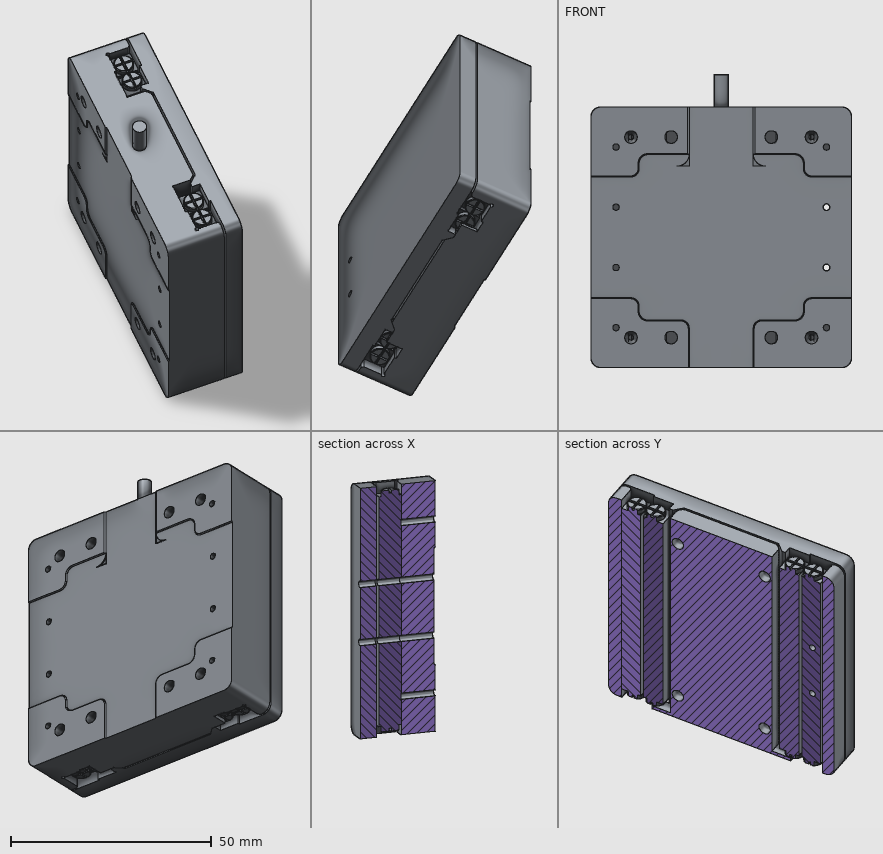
import cadquery as cq
import math


side = 65.0
thickness = 20.0
overall_length = 73.0
corner_radius = 2.5
front_y = -thickness / 2
back_y = thickness / 2
mid_z = side / 2

running_gap = 0.5
base_top_y = 5.1
rail_floor_y = -0.9
clearance_floor_y = -1.4
ridge_top_y = base_top_y - running_gap
keel_bottom_y = 3.0
ridge_shoulder_y = 3.35

ridge_top_x = 13.4
slope_inner_x = 13.6
slope_outer_x = slope_inner_x + base_top_y - keel_bottom_y
ridge_wall_x = ridge_top_x + ridge_top_y - ridge_shoulder_y
inner_rail_x = (16.7, 22.4)
outer_rail_x = (23.15, 28.6)
end_stop_x = 19.9
end_stop_length = 1.1
preload_gap = 0.5
wall_chamfer = 0.5
root_relief_radius = 0.45

rail_recess = 2.7
rail_edge_chamfer = 0.2
head_radius = 2.5
head_height = 1.45
head_chamfer = 0.2
head_slot_width = 0.5
head_slot_depth = 0.7
outer_head_x = 25.4
inner_head_x = 20.0
head_y = 2.05

pad_height = 0.3
pad_slope = 0.255
pad_inner_x = 7.95
pad_step_x = 20.45
pad_inner_length = 11.9
pad_outer_length = 17.45
pad_radius = 2.1
pad_pick_margin = 0.7
pad_oversize = 7.3
channel_extra = 0.45
relief_end = 14.75
corner_relief_radius = 3.1
corner_relief_depth = 0.3

small_hole_d = 1.6
small_hole_x = 26.2
small_hole_offsets = (-22.5, -7.5, 7.5, 22.5)
through_offsets = small_hole_offsets[1:3]
large_hole_d = 3.15
through_hole_x = 12.5
blind_hole_x = 22.5
large_hole_offsets = (-25.0, 25.0)
drill_point_angle = 118.0
drill_break_radius = 0.65

pin_d = 3.5
pin_y = -4.2

SIGNS = (-1, 1)


def block(x0, x1, y0, y1, z0, z1):
    """Box between two opposite corners."""
    return cq.Workplane("XY").box(x1 - x0, y1 - y0, z1 - z0, centered=False).translate((x0, y0, z0))


def rounded_block(y0, y1):
    """Slab with the common outline of the base and the carriage."""
    return block(-side / 2, side / 2, y0, y1, 0, side).edges("|Y").fillet(corner_radius)


def profile_prism(points, length=side):
    """Prism along Z from an XY outline."""
    return cq.Workplane("XY").polyline(points).close().extrude(length)


def drill(x, z, diameter, y0, y1):
    """Cylinder along +Y from y0 to y1."""
    cylinder = cq.Solid.makeCylinder(diameter / 2, y1 - y0, cq.Vector(x, y0, z), cq.Vector(0, 1, 0))
    return cq.Workplane(cylinder)


def rail_space(sign, play):
    """Room in the base for the two rails of one side and the keel of the carriage."""
    wall_x = outer_rail_x[1] + play
    points = [
        (ridge_top_x, back_y),
        (ridge_top_x, ridge_top_y),
        (ridge_wall_x, ridge_shoulder_y),
        (ridge_wall_x, clearance_floor_y),
        (outer_rail_x[0], clearance_floor_y),
        (outer_rail_x[0], rail_floor_y),
        (wall_x, rail_floor_y),
        (wall_x, base_top_y - wall_chamfer),
        (wall_x + wall_chamfer, base_top_y),
        (wall_x + wall_chamfer, back_y),
    ]
    wall_foot = cq.Workplane("XY").center(sign * wall_x, rail_floor_y)
    root_relief = wall_foot.circle(root_relief_radius).extrude(side)
    return profile_prism([(sign * x, y) for x, y in points]).union(root_relief)


def end_stop(sign):
    """Wall at the -Z end that fills the clearance beside one inner rail up to the carriage."""
    points = [
        (ridge_top_x, ridge_top_y),
        (ridge_wall_x, ridge_shoulder_y),
        (ridge_wall_x, clearance_floor_y),
        (end_stop_x, clearance_floor_y),
        (end_stop_x, keel_bottom_y),
        (slope_outer_x, keel_bottom_y),
        (slope_outer_x - (ridge_top_y - keel_bottom_y), ridge_top_y),
    ]
    return profile_prism([(sign * x, y) for x, y in points], end_stop_length)


def pad(x_sign, z_sign):
    """Raised mounting pad in one corner of the front face, with sloped walls."""
    far = side / 2 + pad_oversize
    inner_z = side / 2 - pad_inner_length
    outer_z = side / 2 - pad_outer_length
    points = [
        (pad_inner_x, far),
        (pad_inner_x, inner_z),
        (pad_step_x, inner_z),
        (pad_step_x, outer_z),
        (far, outer_z),
        (far, far),
    ]
    floor_y = front_y + pad_height
    outline = [(x_sign * x, mid_z + z_sign * z) for x, z in points]
    body = cq.Workplane("XZ", origin=(0, floor_y, 0)).polyline(outline).close().extrude(pad_height)
    step_edges = cq.selectors.BoxSelector(
        (x_sign * (pad_step_x - pad_pick_margin), front_y - pad_pick_margin, mid_z),
        (x_sign * (pad_step_x + pad_pick_margin), floor_y + pad_pick_margin, mid_z + z_sign * far),
    )
    body = body.edges("|Y").edges(step_edges).fillet(pad_radius)
    if z_sign < 0:
        inner_corner = cq.selectors.NearestToPointSelector(
            (x_sign * pad_inner_x, floor_y, mid_z + z_sign * inner_z)
        )
        body = body.edges("|Y").edges(inner_corner).fillet(pad_radius)
    body = body.faces("<Y").chamfer(pad_slope)
    return body.intersect(rounded_block(front_y, floor_y))


def end_channel():
    """Wider, flatter slopes of the centre channel between the pads at the +Z end."""
    wide_x = pad_inner_x + channel_extra
    floor_y = front_y + pad_height
    points = [(-wide_x, front_y), (wide_x, front_y), (pad_inner_x, floor_y), (-pad_inner_x, floor_y)]
    return profile_prism(points, pad_inner_length).translate((0, 0, side - pad_inner_length))


def corner_relief(sign):
    """Shallow recess between a square corner and its inscribed arc, below a +Z pad."""
    bottom_z = side - relief_end
    arc_x = pad_inner_x + corner_relief_radius
    arc_z = bottom_z + corner_relief_radius
    arc_reach = corner_relief_radius * math.sqrt(0.5)
    return (
        cq.Workplane("XZ", origin=(0, front_y + pad_height + corner_relief_depth, 0))
        .moveTo(sign * pad_inner_x, bottom_z)
        .lineTo(sign * arc_x, bottom_z)
        .threePointArc((sign * (arc_x - arc_reach), arc_z - arc_reach), (sign * pad_inner_x, arc_z))
        .close()
        .extrude(corner_relief_depth)
    )


def blind_hole(x, z):
    """Drilled hole whose conical point just breaks through the clearance floor."""
    radius = large_hole_d / 2
    slope = math.tan(math.radians(drill_point_angle / 2))
    shoulder_y = clearance_floor_y - (radius - drill_break_radius) / slope
    tip_y = shoulder_y + radius / slope
    section = [(0, front_y), (radius, front_y), (radius, shoulder_y), (0, tip_y)]
    return cq.Workplane("XY").polyline(section).close().revolve(360, (0, 0), (0, 1)).translate((x, 0, z))


def make_base():
    base = rounded_block(front_y + pad_height, base_top_y)
    base = base.cut(block(-ridge_top_x, ridge_top_x, ridge_top_y, back_y, 0, side))
    base = base.cut(rail_space(-1, 0)).cut(rail_space(1, preload_gap))
    for x_sign in SIGNS:
        for z_sign in SIGNS:
            base = base.union(pad(x_sign, z_sign))
    base = base.cut(end_channel())
    for sign in SIGNS:
        base = base.union(end_stop(sign))
        base = base.cut(corner_relief(sign))
        for offset in small_hole_offsets:
            base = base.cut(drill(sign * small_hole_x, mid_z + offset, small_hole_d, front_y, rail_floor_y))
        for offset in large_hole_offsets:
            base = base.cut(drill(sign * through_hole_x, mid_z + offset, large_hole_d, front_y, base_top_y))
            base = base.cut(blind_hole(sign * blind_hole_x, mid_z + offset))
    return base


def carriage_side(sign):
    """Underside of the carriage from the centre gap out to one side edge."""
    points = [
        (0, base_top_y),
        (slope_inner_x, base_top_y),
        (slope_outer_x, keel_bottom_y),
        (inner_rail_x[0], keel_bottom_y),
        (inner_rail_x[0], base_top_y),
        (inner_rail_x[1], base_top_y),
        (inner_rail_x[1], base_top_y + running_gap),
        (side / 2, base_top_y + running_gap),
        (side / 2, front_y),
        (0, front_y),
    ]
    return profile_prism([(sign * x, y) for x, y in points])


def make_carriage():
    carriage = rounded_block(keel_bottom_y, back_y)
    for sign in SIGNS:
        carriage = carriage.cut(carriage_side(sign))
    for offset in through_offsets:
        carriage = carriage.cut(drill(small_hole_x, mid_z + offset, small_hole_d, base_top_y, back_y))
    return carriage


def screw_head():
    """Cross-slotted screw head standing on the XY plane."""
    head = cq.Workplane("XY").circle(head_radius).extrude(head_height).faces(">Z").chamfer(head_chamfer)
    slots = cq.Workplane("XY", origin=(0, 0, head_height - head_slot_depth))
    for size in ((2 * head_radius, head_slot_width), (head_slot_width, 2 * head_radius)):
        head = head.cut(slots.rect(*size).extrude(head_slot_depth))
    return head


def make_rail(sign, x_range, head_x):
    """Rail with a screw head on each end."""
    near_x, far_x = sorted(sign * x for x in x_range)
    rail = block(near_x, far_x, rail_floor_y, base_top_y, rail_recess, side - rail_recess)
    rail = rail.edges("|Z").chamfer(rail_edge_chamfer)
    top_head = screw_head().translate((sign * head_x, head_y, side - rail_recess))
    bottom_head = top_head.mirror("XY", (0, 0, mid_z))
    return rail.union(top_head).union(bottom_head)


def make_rails():
    """Inner and outer rail on each side; the +X outer rail has through holes."""
    rails = []
    for sign in SIGNS:
        rails.append(make_rail(sign, inner_rail_x, inner_head_x))
        outer_rail = make_rail(sign, outer_rail_x, outer_head_x)
        if sign > 0:
            for offset in through_offsets:
                outer_rail = outer_rail.cut(
                    drill(small_hole_x, mid_z + offset, small_hole_d, rail_floor_y, base_top_y)
                )
        rails.append(outer_rail)
    return rails


def make_pin():
    return cq.Workplane("XY", origin=(0, pin_y, side)).circle(pin_d / 2).extrude(overall_length - side)


base = make_base()
carriage = make_carriage()
rails = make_rails()
pin = make_pin()

result = cq.Compound.makeCompound(
    [
        base.solids().val(),
        carriage.solids().val(),
        *[rail.solids().val() for rail in rails],
        pin.solids().val(),
    ]
)